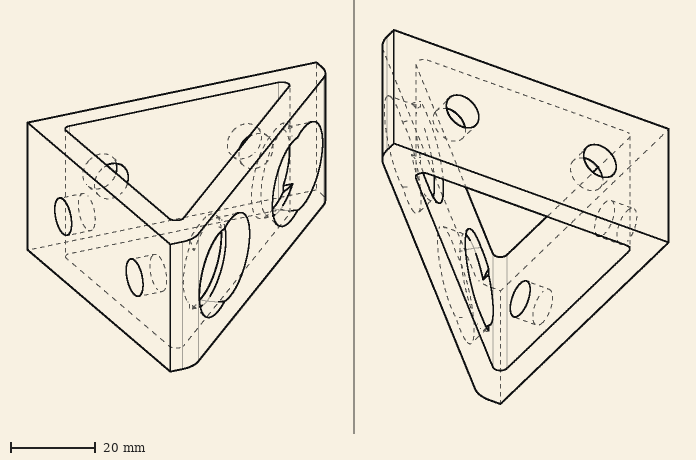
import cadquery as cq
import math

leg = 76.2
height = 33.2
wall = 6.2

slope_sum = 82.45
tip_radius = 7.5
pocket_radius = 1.8

bolt_diameter = 9.0
bolt_places = (19.05, 57.15)
access_diameter = 20.0

mid_height = height / 2
inner_sum = slope_sum - wall * math.sqrt(2)


def bracket_body():
    """Right-angled prism with its two sharp tips cut short and rounded."""
    tip_land = slope_sum - leg
    body = (
        cq.Workplane("XY")
        .polyline([(0, 0), (leg, 0), (leg, tip_land), (tip_land, leg), (0, leg)])
        .close()
        .extrude(height)
    )
    slope_ends = cq.selectors.BoxSelector(
        (tip_land / 2, tip_land / 2, 0), (leg + 0.8, leg + 0.8, height)
    )
    return body.edges("|Z").edges(slope_ends).fillet(tip_radius)


def triangular_opening():
    """Through opening that leaves an even wall on all three sides."""
    reach = inner_sum - wall
    return (
        cq.Workplane("XY")
        .polyline([(wall, wall), (reach, wall), (wall, reach)])
        .close()
        .extrude(height)
        .edges("|Z")
        .fillet(pocket_radius)
    )


def cylinder_along(axis, place, start, diameter):
    """Cylinder parallel to axis X or Y, from start to beyond the part."""
    if axis == "X":
        origin = cq.Vector(start, place, mid_height)
        direction = cq.Vector(1, 0, 0)
    else:
        origin = cq.Vector(place, start, mid_height)
        direction = cq.Vector(0, 1, 0)
    return cq.Solid.makeCylinder(diameter / 2, leg, origin, direction)


result = bracket_body().cut(triangular_opening())
for axis in ("X", "Y"):
    for place in bolt_places:
        result = result.cut(cylinder_along(axis, place, 0, bolt_diameter))
        result = result.cut(cylinder_along(axis, place, 2 * wall, access_diameter))